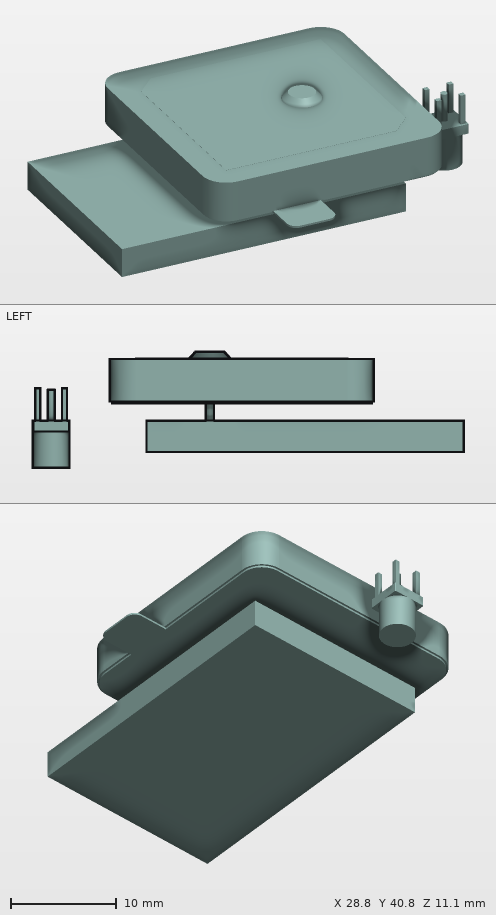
import cadquery as cq
antenna_width = 25.0
antenna_corner_radius = 2.5
antenna_top = 4.25
tape_thickness = 0.2
tape_inset = 0.2

patch_width = 19.95
patch_corner_cut = 2.0
patch_thickness = 0.02

tab_reach = 16.3
tab_width = 5.0
tab_center_y = -3.75
tab_corner_radius = 0.98

feed_y = 3.0
feed_diameter = 0.8
head_diameter = 4.0
head_top_diameter = 2.7
head_height = 0.7

board_gap = 1.6
board_width = patch_width
board_length = 30.0
board_thickness = 2.97
board_front_y = -21.0

overall_length = 40.75
connector_width = 3.5
connector_height = 4.5
flange_thickness = 1.0
flange_corner_chamfer = 0.1
leg_width = 0.5
leg_spacing = 2.53
leg_height = 3.05
contact_diameter = 0.7
contact_height = 2.95
contact_tip_chamfer = 0.05

board_top = -board_gap
connector_y = board_front_y + overall_length - connector_width / 2


def make_tape():
    """Thin tape under the antenna, with a rounded tab reaching out to +X."""
    sheet_width = antenna_width - 2 * tape_inset
    sheet = (
        cq.Workplane("XY")
        .rect(sheet_width, sheet_width)
        .extrude(tape_thickness)
        .edges("|Z")
        .fillet(antenna_corner_radius - tape_inset)
    )
    tab = (
        cq.Workplane("XY")
        .center(tab_reach / 2, tab_center_y)
        .rect(tab_reach, tab_width)
        .extrude(tape_thickness)
        .edges("|Z and >X")
        .fillet(tab_corner_radius)
    )
    return sheet.union(tab)


def make_patch():
    """Square patch with its (-X, -Y) and (+X, +Y) corners cut off."""
    half = patch_width / 2
    cut = half - patch_corner_cut
    outline = [(-half, half), (cut, half), (half, cut), (half, -half), (-cut, -half), (-half, -cut)]
    return cq.Workplane("XY").workplane(offset=antenna_top).polyline(outline).close().extrude(patch_thickness)


def make_feed():
    """Feed pin standing on the board, with a bevelled head above the patch."""
    pin = (
        cq.Workplane("XY")
        .workplane(offset=board_top)
        .center(0, feed_y)
        .circle(feed_diameter / 2)
        .extrude(antenna_top - board_top)
    )
    head = (
        cq.Workplane("XY")
        .workplane(offset=antenna_top)
        .center(0, feed_y)
        .circle(head_diameter / 2)
        .workplane(offset=head_height)
        .circle(head_top_diameter / 2)
        .loft()
    )
    return pin.union(head)


def make_antenna():
    block = (
        cq.Workplane("XY")
        .workplane(offset=tape_thickness)
        .rect(antenna_width, antenna_width)
        .extrude(antenna_top - tape_thickness)
        .edges("|Z")
        .fillet(antenna_corner_radius)
    )
    return block.union(make_tape()).union(make_patch()).union(make_feed())


def make_board():
    return (
        cq.Workplane("XY")
        .workplane(offset=board_top)
        .center(0, board_front_y + board_length / 2)
        .rect(board_width, board_length)
        .extrude(-board_thickness)
    )


def make_connector():
    """Square flange with cut corners on a round barrel, with four square legs and a round centre contact."""
    base = cq.Workplane("XY").workplane(offset=board_top).center(0, connector_y)
    flange = base.rect(connector_width, connector_width).extrude(-flange_thickness)
    flange = flange.edges("|Z").chamfer(flange_corner_chamfer)
    barrel = base.circle(connector_width / 2).extrude(-connector_height)
    legs = base.rarray(leg_spacing, leg_spacing, 2, 2).rect(leg_width, leg_width).extrude(leg_height)
    contact = base.circle(contact_diameter / 2).extrude(contact_height)
    contact = contact.faces(">Z").chamfer(contact_tip_chamfer)
    return flange.union(barrel).union(legs).union(contact)


antenna = make_antenna()
board = make_board()
connector = make_connector()

result = cq.Compound.makeCompound([antenna.val(), board.val(), connector.val()])